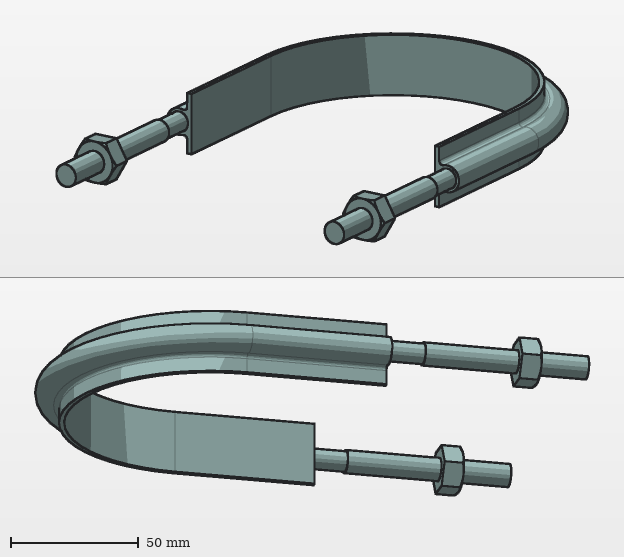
import cadquery as cq
import math


overall_length = 204.2
overall_width = 145.5
nut_across_corners = 19.6
leg_offset = (overall_width - nut_across_corners) / 2
rod_diameter = 8.2
thread_diameter = 9.2
thread_length = 65.8

bore_diameter = 8.4
sleeve_diameter = 11.0
band_inner_offset = 57.2
band_thickness = 2.0
band_width = 25.0
band_outer_offset = band_inner_offset + band_thickness
liner_end_y = -56.2
junction_fillet = 1.6

crown_y = leg_offset + sleeve_diameter / 2
leg_end_y = crown_y - overall_length
thread_start_y = leg_end_y + thread_length

nut_across_flats = nut_across_corners * math.cos(math.pi / 6)
nut_thickness = 8.2
nut_tip_gap = 20.0
nut_outer_y = leg_end_y + nut_tip_gap
nut_chamfer_angle = math.radians(30)


def u_sweep(profile_at_leg, end_y):
    """Sweep a leg cross-section around the U: leg, half-circle bend, leg."""
    path = (
        cq.Workplane("XY")
        .moveTo(-leg_offset, end_y)
        .lineTo(-leg_offset, 0)
        .threePointArc((0, leg_offset), (leg_offset, 0))
        .lineTo(leg_offset, end_y)
    )
    return profile_at_leg.sweep(path)


def leg_plane(x, y):
    """Plane square to a leg: local x is X, local y is Z, normal points to -Y."""
    return cq.Workplane("XZ", origin=(x, y, 0))


def u_tube(diameter, end_y):
    """Solid round bar following the U."""
    return u_sweep(leg_plane(-leg_offset, end_y).circle(diameter / 2), end_y)


def make_u_bolt():
    bolt = u_tube(rod_diameter, thread_start_y)
    for side in (-1, 1):
        leg_start = leg_plane(side * leg_offset, thread_start_y)
        thread = leg_start.circle(thread_diameter / 2).extrude(thread_length)
        bolt = bolt.union(thread)
    return bolt


def liner_profile():
    """Outer outline of the left leg's section, relative to the rod axis; +x is inward."""
    radius = sleeve_diameter / 2
    inner_x = leg_offset - band_inner_offset
    outer_x = leg_offset - band_outer_offset
    half_width = band_width / 2
    blend_x = outer_x - junction_fillet
    blend_z = math.sqrt((radius + junction_fillet) ** 2 - blend_x ** 2)
    touch_scale = radius / (radius + junction_fillet)
    touch_x = blend_x * touch_scale
    touch_z = blend_z * touch_scale
    touch_angle = math.atan2(-blend_z, -blend_x)
    middle_angle = touch_angle / 2
    middle_x = blend_x + junction_fillet * math.cos(middle_angle)
    middle_z = blend_z + junction_fillet * math.sin(middle_angle)
    return (
        leg_plane(-leg_offset, liner_end_y)
        .moveTo(inner_x, -half_width)
        .lineTo(inner_x, half_width)
        .lineTo(outer_x, half_width)
        .lineTo(outer_x, blend_z)
        .threePointArc((middle_x, middle_z), (touch_x, touch_z))
        .threePointArc((-radius, 0), (touch_x, -touch_z))
        .threePointArc((middle_x, -middle_z), (outer_x, -blend_z))
        .lineTo(outer_x, -half_width)
        .close()
    )


def make_liner():
    return u_sweep(liner_profile(), liner_end_y).cut(u_tube(bore_diameter, liner_end_y))


def make_nut(x):
    """Hex nut with two corners along X and a chamfered -Y face."""
    inner_y = nut_outer_y + nut_thickness
    hexagon = leg_plane(x, inner_y).polygon(6, nut_across_corners).extrude(nut_thickness)
    face_radius = nut_across_flats / 2
    cone_radius = face_radius + nut_thickness / math.tan(nut_chamfer_angle)
    chamfer_cone = cq.Workplane(
        cq.Solid.makeCone(
            cone_radius, face_radius, nut_thickness, pnt=cq.Vector(x, inner_y, 0), dir=cq.Vector(0, -1, 0)
        )
    )
    hole = leg_plane(x, inner_y).circle(thread_diameter / 2).extrude(nut_thickness)
    return hexagon.intersect(chamfer_cone).cut(hole)


u_bolt = make_u_bolt()
liner = make_liner()
nuts = [make_nut(side * leg_offset) for side in (-1, 1)]

result = cq.Compound.makeCompound([u_bolt.val(), liner.val(), *[nut.val() for nut in nuts]])